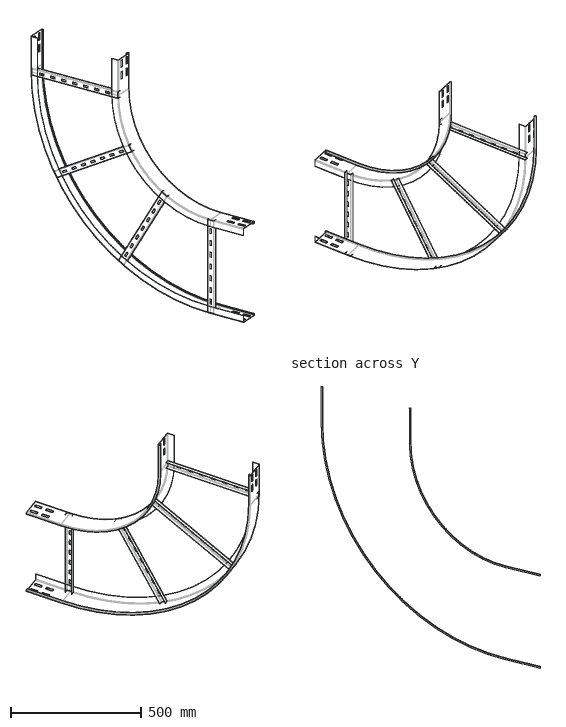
import cadquery as cq
import math

size = 970.0
depth = 80.0
leg_length = 150.0
tray_width = 400.0

thickness = 1.5

rail_bend_radius = 3.4
flange_width = 30.0
hook_width = 9.0
hook_drop = 10.0

web_slot_length = 29.0
web_slot_width = 10.0
web_slot_end_distance = 24.0
web_slot_pitch = 49.0
web_slot_row_spacing = 35.0
web_slot_row_centre = 3.4

rung_count = 4
rung_width = 29.0
rung_depth = 16.0
rung_bend_radius = 2.0
rung_slot_count = 7
rung_slot_length = 19.0
rung_slot_width = 7.0
rung_slot_pitch = 50.0

half = size / 2
front = -depth / 2
back = depth / 2
bend_centre = half - leg_length
outer_web_x = -half
inner_web_x = outer_web_x + tray_width
rung_front = front + thickness


def bent_sheet(plane, corners, bend_radius):
    """Outline of a sheet whose outer surface follows corners, each a left-hand right-angle bend."""
    points = [cq.Vector(*corner) for corner in corners]
    headings = [(b - a).normalized() for a, b in zip(points, points[1:])]
    inner_radius = bend_radius - thickness
    bends = []
    for corner, arriving, leaving in zip(points[1:], headings, headings[1:]):
        centre = corner + (leaving - arriving) * bend_radius
        bends.append((centre, arriving, leaving, (arriving - leaving).normalized()))

    def left(heading):
        return cq.Vector(-heading.y, heading.x) * thickness

    def xy(vector):
        return vector.x, vector.y

    outline = plane.moveTo(*xy(points[0]))
    for centre, arriving, leaving, outward in bends:
        outline = outline.lineTo(*xy(centre - leaving * bend_radius))
        outline = outline.threePointArc(
            xy(centre + outward * bend_radius), xy(centre + arriving * bend_radius)
        )
    outline = outline.lineTo(*xy(points[-1])).lineTo(*xy(points[-1] + left(headings[-1])))
    for centre, arriving, leaving, outward in reversed(bends):
        outline = outline.lineTo(*xy(centre + arriving * inner_radius))
        outline = outline.threePointArc(
            xy(centre + outward * inner_radius), xy(centre - leaving * inner_radius)
        )
    return outline.lineTo(*xy(points[0] + left(headings[0]))).close()


def turn_about_bend(body, angle):
    """Rotate a body about the elbow's axis, from the +Z leg toward the +X leg."""
    start = (bend_centre, 0, bend_centre)
    end = (bend_centre, 1, bend_centre)
    return body.rotate(start, end, -angle)


def web_slots(web_x):
    """Four rectangular cutters through the web of the leg that runs along Z."""
    places = []
    for column in range(2):
        z = half - web_slot_end_distance - column * web_slot_pitch
        for side in (-1, 1):
            places.append((web_slot_row_centre + side * web_slot_row_spacing / 2, z))
    plane = cq.Workplane("YZ", origin=(web_x, 0, 0)).pushPoints(places)
    return plane.rect(web_slot_width, web_slot_length).extrude(2 * thickness, both=True)


def make_rail(web_x, corners):
    """A channel rail: straight leg, quarter bend and second straight leg."""
    plane = cq.Workplane("XY", origin=(0, 0, bend_centre))
    leg = bent_sheet(plane, corners, rail_bend_radius).extrude(leg_length).cut(web_slots(web_x))
    bend = bent_sheet(plane, corners, rail_bend_radius).revolve(90, (bend_centre, 0), (bend_centre, -1))
    flipped_leg = leg.mirror("XY", (0, 0, bend_centre))
    second_leg = turn_about_bend(flipped_leg, 90)
    return bend.union(leg, clean=False).union(second_leg, clean=False)


def make_outer_rail():
    hook_x = outer_web_x + hook_width
    corners = [
        (hook_x, back - hook_drop),
        (hook_x, back),
        (outer_web_x, back),
        (outer_web_x, front),
        (outer_web_x + flange_width, front),
    ]
    return make_rail(outer_web_x, corners)


def make_inner_rail():
    hook_x = inner_web_x - hook_width
    corners = [
        (inner_web_x - flange_width, front),
        (inner_web_x, front),
        (inner_web_x, back),
        (hook_x, back),
        (hook_x, back - hook_drop),
    ]
    return make_rail(inner_web_x, corners)


def make_rung(angle):
    """A slotted U channel lying on the inside of both flanges, between the rail bends."""
    side = rung_width / 2
    rung_back = rung_front + rung_depth
    corners = [
        (-side, rung_back),
        (-side, rung_front),
        (side, rung_front),
        (side, rung_back),
    ]
    outer_flat_radius = bend_centre - outer_web_x - rail_bend_radius
    outer_end_x = bend_centre - math.sqrt(outer_flat_radius**2 - side**2)
    inner_end_x = inner_web_x - rail_bend_radius
    plane = cq.Workplane("ZY", origin=(inner_end_x, 0, bend_centre))
    rung = bent_sheet(plane, corners, rung_bend_radius).extrude(inner_end_x - outer_end_x)
    middle_x = (outer_web_x + inner_web_x) / 2
    slots = (
        cq.Workplane("XZ", origin=(middle_x, rung_front, bend_centre))
        .rarray(rung_slot_pitch, 10, rung_slot_count, 1)
        .rect(rung_slot_length, rung_slot_width)
        .extrude(2 * thickness, both=True)
    )
    return turn_about_bend(rung.cut(slots), angle)


outer_rail = make_outer_rail()
inner_rail = make_inner_rail()
rungs = []
for index in range(rung_count):
    rungs.append(make_rung(90 * index / (rung_count - 1)))

result = cq.Compound.makeCompound(
    [outer_rail.solids().val(), inner_rail.solids().val(), *[rung.val() for rung in rungs]]
)